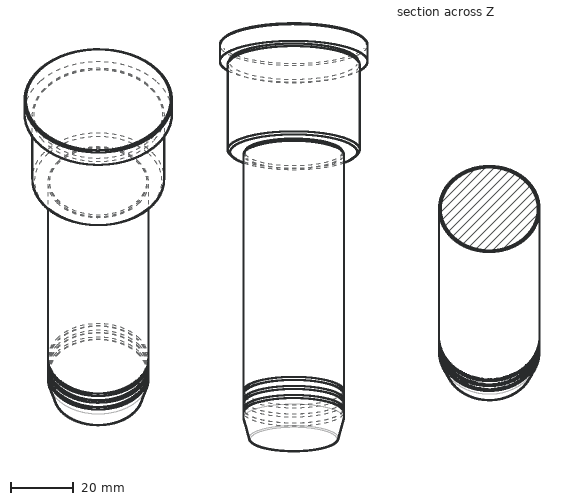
import cadquery as cq
import math

total_length = 131.0
head_diameter = 47.0
head_thickness = 6.0
head_edge_chamfer = 0.5
collar_diameter = 42.0
collar_length = 30.0
collar_edge_chamfer = 0.8

shank_diameter = 32.0
nose_length = 7.0
nose_half_angle = 15.0
tip_edge_radius = 0.5

head_relief_width = 1.0
head_relief_depth = 0.5

collar_relief_width = 0.8
collar_relief_depth = 0.5

groove_count = 3
groove_radius = 0.5
groove_pitch = 3.0
land_above_nose = 2.0

head_radius = head_diameter / 2
collar_radius = collar_diameter / 2
shank_radius = shank_diameter / 2
tip_radius = shank_radius - nose_length * math.tan(math.radians(nose_half_angle))
head_bottom = total_length - head_thickness
collar_bottom = head_bottom - collar_length


def make_cylinder(radius, bottom, top):
    return cq.Workplane("XY").workplane(offset=bottom).circle(radius).extrude(top - bottom)


def revolve_about_axis(profile):
    """Turn a closed profile in the XZ plane a full turn about the Z axis."""
    return profile.revolve(360, (0, 0, 0), (0, 1, 0))


def make_head():
    head = make_cylinder(head_radius, head_bottom, total_length)
    return head.faces(">Z").edges().chamfer(head_edge_chamfer)


def make_collar():
    collar = make_cylinder(collar_radius, collar_bottom, head_bottom)
    return collar.faces("<Z").edges().chamfer(collar_edge_chamfer)


def make_shank():
    return make_cylinder(shank_radius, nose_length, collar_bottom)


def make_nose():
    """Cone from the shank down to the rounded tip edge."""
    profile = (
        cq.Workplane("XZ")
        .lineTo(tip_radius, 0)
        .lineTo(shank_radius, nose_length)
        .lineTo(0, nose_length)
        .close()
    )
    return revolve_about_axis(profile).faces("<Z").edges().fillet(tip_edge_radius)


def make_head_relief():
    """Cutter for the neck under the head; its depth is also the radius of its lower corner."""
    floor_radius = collar_radius - head_relief_depth
    relief_bottom = head_bottom - head_relief_width
    diagonal_inset = head_relief_depth * (1 - math.sqrt(0.5))
    profile = (
        cq.Workplane("XZ")
        .moveTo(collar_radius, head_bottom)
        .lineTo(floor_radius, head_bottom)
        .lineTo(floor_radius, relief_bottom + head_relief_depth)
        .threePointArc(
            (floor_radius + diagonal_inset, relief_bottom + diagonal_inset),
            (collar_radius, relief_bottom),
        )
        .close()
    )
    return revolve_about_axis(profile)


def make_collar_relief():
    """Cutter for the square neck under the collar."""
    relief_bottom = collar_bottom - collar_relief_width
    ring = make_cylinder(shank_radius, relief_bottom, collar_bottom)
    core = make_cylinder(shank_radius - collar_relief_depth, relief_bottom, collar_bottom)
    return ring.cut(core)


def make_oil_groove(bottom):
    """Cutter for one half-round groove in the shank."""
    profile = (
        cq.Workplane("XZ")
        .moveTo(shank_radius, bottom)
        .threePointArc(
            (shank_radius - groove_radius, bottom + groove_radius),
            (shank_radius, bottom + 2 * groove_radius),
        )
        .close()
    )
    return revolve_about_axis(profile)


result = make_head().union(make_collar()).union(make_shank()).union(make_nose())
result = result.cut(make_head_relief()).cut(make_collar_relief())

first_groove_bottom = nose_length + land_above_nose
for index in range(groove_count):
    result = result.cut(make_oil_groove(first_groove_bottom + index * groove_pitch))